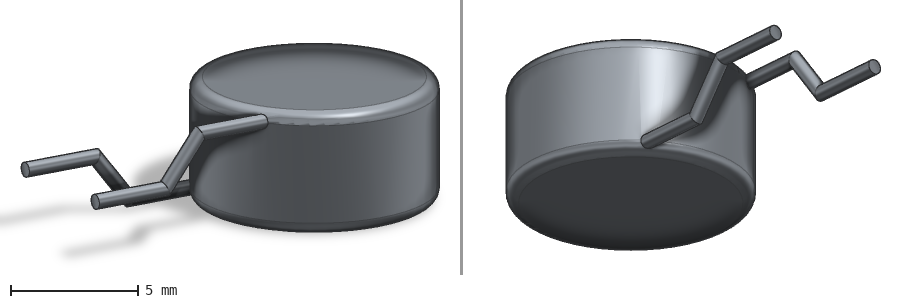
import cadquery as cq

body_diameter = 9.8
body_height = 5.0
edge_radius = 0.5
overall_length = 16.75

lead_diameter = 0.6
lead_pitch = 5.08
lead_inset = 0.5
lead_root_y = -2.5
first_bend_y = -7.0
second_bend_y = -8.6
lead_tip_y = body_diameter / 2 - overall_length
tip_z = body_height / 2


def make_body():
    """Round disc with both rims rounded."""
    disc = cq.Workplane("XY").circle(body_diameter / 2).extrude(body_height)
    return disc.edges().fillet(edge_radius)


def make_lead(x, root_z):
    """Round wire leaving the body at root_z, with two mitred bends that bring it to tip_z."""
    path = cq.Workplane("YZ", origin=(x, 0, 0)).polyline([
        (lead_root_y, root_z),
        (first_bend_y, root_z),
        (second_bend_y, tip_z),
        (lead_tip_y, tip_z),
    ])
    section = cq.Workplane("XZ", origin=(x, lead_root_y, root_z)).circle(lead_diameter / 2)
    return section.sweep(path, transition="right")


lower_lead = make_lead(-lead_pitch / 2, lead_inset)
upper_lead = make_lead(lead_pitch / 2, body_height - lead_inset)

result = make_body().union(lower_lead).union(upper_lead)